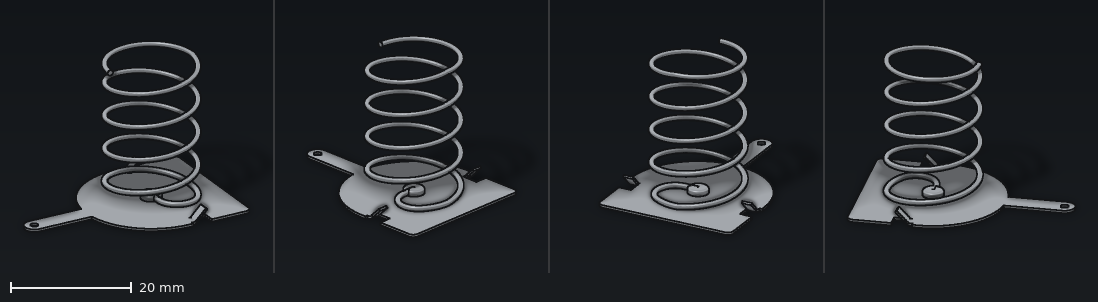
import cadquery as cq
import math

plate_radius = 12.5
plate_thickness = 0.5
plate_back = 11.98
overall_length = 36.07
corner_radius = 1.1
tail_radius = 1.8
tail_hole_y = plate_back - overall_length + tail_radius
tail_hole_radius = 0.65

notch_front = 0.85
notch_back = 4.35
notch_inner = 10.25
tongue_outer = 12.0
tongue_thickness = 0.4
bend_y = 1.5
bend_radius = 0.45
tongue_top = 2.52

spring_offset = 0.07

button_radius = 1.8
button_height = 1.48
button_round = 0.47

wire_radius = 0.5
coil_radius = 7.75
total_height = 25.4
coil_turns = 4
start_z = plate_thickness + wire_radius
end_z = total_height - wire_radius
arm_bend_radius = 3.5


def make_plate():
    body = (
        cq.Workplane("XY")
        .moveTo(-plate_radius, plate_back)
        .lineTo(-plate_radius, 0)
        .threePointArc((0, -plate_radius), (plate_radius, 0))
        .lineTo(plate_radius, plate_back)
        .close()
        .extrude(plate_thickness)
        .edges("|Z and >Y")
        .fillet(corner_radius)
    )
    tail = (
        cq.Workplane("XY")
        .moveTo(-tail_radius, 0)
        .lineTo(-tail_radius, tail_hole_y)
        .threePointArc((0, tail_hole_y - tail_radius), (tail_radius, tail_hole_y))
        .lineTo(tail_radius, 0)
        .close()
        .extrude(plate_thickness)
    )
    hole = cq.Workplane("XY").center(0, tail_hole_y).circle(tail_hole_radius).extrude(plate_thickness)
    plate = body.union(tail).cut(hole)
    for side in (-1, 1):
        notch = (
            cq.Workplane("XY")
            .moveTo(side * notch_inner, notch_front)
            .lineTo(side * plate_radius, notch_front)
            .lineTo(side * plate_radius, notch_back)
            .lineTo(side * notch_inner, notch_back)
            .close()
            .extrude(plate_thickness)
        )
        plate = plate.cut(notch)
    return plate


def make_tongue(left_x):
    slant = tongue_thickness * math.sqrt(0.5)
    rise = tongue_top - plate_thickness
    tip_y = bend_y + rise
    lower_bend_y = tip_y + slant - (tongue_top - slant)
    tongue = (
        cq.Workplane("YZ", origin=(left_x, 0, 0))
        .moveTo(notch_front, 0)
        .lineTo(lower_bend_y, 0)
        .lineTo(tip_y + slant, tongue_top - slant)
        .lineTo(tip_y, tongue_top)
        .lineTo(bend_y, plate_thickness)
        .lineTo(notch_front, plate_thickness)
        .close()
        .extrude(tongue_outer - notch_inner)
    )
    inside_bend = cq.selectors.NearestToPointSelector(
        (left_x + (tongue_outer - notch_inner) / 2, bend_y, plate_thickness)
    )
    return tongue.edges("|X").edges(inside_bend).fillet(bend_radius)


def make_button():
    button = cq.Workplane("XY").circle(button_radius).extrude(button_height)
    return button.faces(">Z").edges().fillet(button_round)


def make_spring():
    bend_x = math.sqrt((coil_radius - arm_bend_radius) ** 2 - arm_bend_radius**2)
    join_angle = math.atan2(arm_bend_radius, bend_x)
    bend_mid_angle = (join_angle - math.pi / 2) / 2
    coil_mid_angle = (join_angle + math.pi / 2) / 2
    bend_mid = (
        bend_x + arm_bend_radius * math.cos(bend_mid_angle),
        arm_bend_radius + arm_bend_radius * math.sin(bend_mid_angle),
    )
    join = (coil_radius * math.cos(join_angle), coil_radius * math.sin(join_angle))
    coil_mid = (coil_radius * math.cos(coil_mid_angle), coil_radius * math.sin(coil_mid_angle))
    arm_path = (
        cq.Workplane("XY", origin=(0, 0, start_z))
        .lineTo(bend_x, 0)
        .threePointArc(bend_mid, join)
        .threePointArc(coil_mid, (0, coil_radius))
    )
    arm = cq.Workplane("YZ", origin=(0, 0, start_z)).circle(wire_radius).sweep(arm_path)

    coil_height = end_z - start_z
    helix = cq.Wire.makeHelix(coil_height / coil_turns, coil_height, coil_radius)
    helix = helix.rotate(cq.Vector(0, 0, 0), cq.Vector(0, 0, 1), 90).translate(cq.Vector(0, 0, start_z))
    coil = (
        cq.Workplane("YZ", origin=(0, coil_radius, start_z))
        .circle(wire_radius)
        .sweep(cq.Workplane(helix), isFrenet=True)
    )

    end_path = (
        cq.Workplane("XY", origin=(0, 0, end_z))
        .moveTo(0, coil_radius)
        .threePointArc((-coil_radius, 0), (0, -coil_radius))
    )
    end_turn = cq.Workplane("YZ", origin=(0, coil_radius, end_z)).circle(wire_radius).sweep(end_path)
    return arm.union(coil).union(end_turn)


result = make_plate()
for tongue_left in (-tongue_outer, notch_inner):
    result = result.union(make_tongue(tongue_left))
spring_assembly = make_button().union(make_spring()).translate((0, -spring_offset, 0))
result = result.union(spring_assembly)